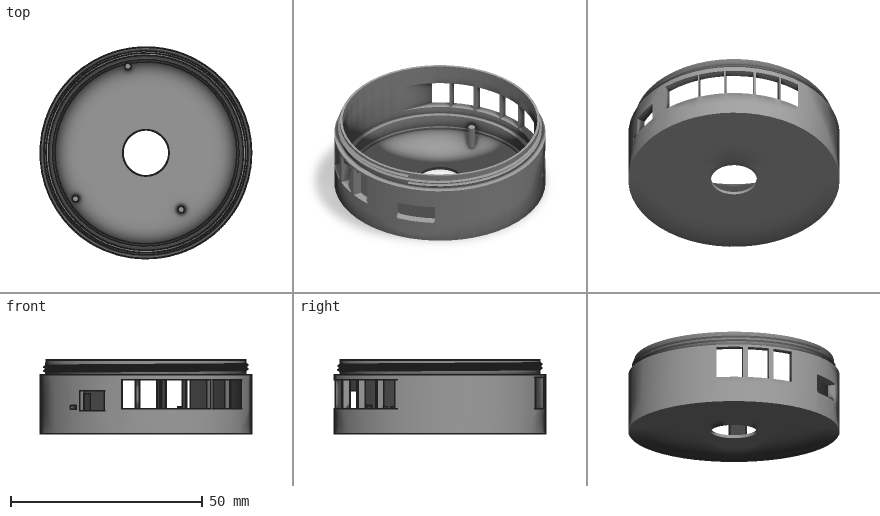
import cadquery as cq
import math

BODY_RADIUS = 55.3 / 2
NECK_RADIUS = 52.29 / 2
BORE_RADIUS = 51.0 / 2
LOWER_BORE_RADIUS = 48.8 / 2
FLOOR_RECESS_RADIUS = 47.6 / 2
CENTRE_HOLE_RADIUS = 12.0 / 2
TOTAL_HEIGHT = 19.4
SHOULDER_Z = 15.5
UPPER_LEDGE_Z = 4.75
LOWER_LEDGE_Z = 1.4
FLOOR_THICKNESS = 0.8

THREAD_PITCH = 1.0
THREAD_TURNS = 2
THREAD_CREST_RADIUS = 26.68
THREAD_HALF_WIDTH = 0.46
THREAD_START_Z = 16.38
THREAD_START_ANGLE = 132.0
THREAD_ROOT_OVERLAP = 0.1

VENT_BOTTOM_Z = 6.65
FRONT_VENT_TOP_Z = 14.15
BACK_VENT_TOP_Z = 14.85
VENT_INNER_Y = 2.0
FRONT_OPENINGS = [
    ((-6.3, -2.4), (3.54, 17.4)),
    ((3.83, 17.4), (10.34, 22.0)),
    ((10.70, 22.0), (17.00, 31.0)),
    ((17.55, 31.0), (21.99, 40.0)),
    ((22.25, 40.0), (24.97, -2.4)),
]
BACK_OPENINGS = [
    ((-8.2, 0.0), (-2.76, 0.0)),
    ((-1.60, 4.0), (4.05, -4.0)),
    ((5.30, 7.0), (12.0, 11.0)),
]

PIN_DIAMETER = 1.73
PIN_TOP_Z = 7.1
SHORT_PIN_TOP_Z = VENT_BOTTOM_Z
PINS = [
    (-4.70, 22.65, SHORT_PIN_TOP_Z),
    (-18.4, -12.0, PIN_TOP_Z),
    (9.25, -14.83, PIN_TOP_Z),
]

CARD_PORT_ANGLE = 239.1
CARD_PORT_WIDTH = 7.4
CARD_PORT_BOTTOM_Z = 6.1
CARD_PORT_TOP_Z = 11.3
SOCKET_PORT_ANGLE = 136.8
SOCKET_PORT_WIDTH = 10.5
SOCKET_PORT_BOTTOM_Z = 5.55
SOCKET_PORT_TOP_Z = 10.5
SOCKET_PORT_CORNER_RADIUS = 0.7
SLOT_ANGLE = 226.6
SLOT_WIDTH = 2.1
SLOT_BOTTOM_Z = 6.4
SLOT_TOP_Z = 7.45
SLOT_CORNER_RADIUS = 0.4

CUT_MARGIN = 3.0


def disc(radius, bottom, top):
    """Solid cylinder on the Z axis between two heights."""
    return cq.Workplane("XY").workplane(offset=bottom).circle(radius).extrude(top - bottom)


def make_shell():
    """Stepped cup: body, threaded neck, bores, thin floor and centre hole."""
    shell = disc(BODY_RADIUS, 0, SHOULDER_Z).union(disc(NECK_RADIUS, 0, TOTAL_HEIGHT))
    shell = shell.cut(disc(BORE_RADIUS, UPPER_LEDGE_Z, TOTAL_HEIGHT))
    shell = shell.cut(disc(LOWER_BORE_RADIUS, LOWER_LEDGE_Z, TOTAL_HEIGHT))
    shell = shell.cut(disc(FLOOR_RECESS_RADIUS, FLOOR_THICKNESS, TOTAL_HEIGHT))
    return shell.cut(disc(CENTRE_HOLE_RADIUS, 0, FLOOR_THICKNESS))


def make_thread():
    """Right-handed V ridge swept along a helix, rooted just inside the neck."""
    height = THREAD_PITCH * THREAD_TURNS
    root_radius = NECK_RADIUS - THREAD_ROOT_OVERLAP
    helix = cq.Wire.makeHelix(THREAD_PITCH, height, root_radius)
    profile = [
        (root_radius, -THREAD_HALF_WIDTH),
        (THREAD_CREST_RADIUS, 0),
        (root_radius, THREAD_HALF_WIDTH),
    ]
    ridge = cq.Workplane("XZ").polyline(profile).close().sweep(cq.Workplane(helix), isFrenet=True)
    return ridge.rotate((0, 0, 0), (0, 0, 1), THREAD_START_ANGLE).translate((0, 0, THREAD_START_Z))


def add_pins(body):
    """Raise the round pins from the floor, each to its own height."""
    for x, y, top in PINS:
        pin = disc(PIN_DIAMETER / 2, 0, top).translate((x, y, 0))
        body = body.union(pin)
    return body


def point_on_side(side, half, y):
    """Point at the given Y on one side of an opening; half is -1 for front, 1 for back."""
    wall_x, lean = side
    wall_y = half * math.sqrt(BODY_RADIUS**2 - wall_x**2)
    return wall_x + half * math.tan(math.radians(lean)) * (y - wall_y), y


def make_opening_cutter(left, right, half, top):
    """Vertical prism between the two sides of a vent opening."""
    outer_y = half * (BODY_RADIUS + CUT_MARGIN)
    inner_y = half * VENT_INNER_Y
    outline = [
        point_on_side(left, half, outer_y),
        point_on_side(right, half, outer_y),
        point_on_side(right, half, inner_y),
        point_on_side(left, half, inner_y),
    ]
    base = cq.Workplane("XY").workplane(offset=VENT_BOTTOM_Z)
    return base.polyline(outline).close().extrude(top - VENT_BOTTOM_Z)


def cut_vents(body, openings, half, top):
    """Cut every opening of one half; the material between openings stays as posts."""
    for left, right in openings:
        body = body.cut(make_opening_cutter(left, right, half, top))
    return body


def make_port_cutter(angle, width, bottom, top, rounded_edges=None, corner_radius=0.0):
    """Box crossing the wall at an angle from +X, with the chosen radial edges rounded."""
    inner = LOWER_BORE_RADIUS - CUT_MARGIN
    length = BODY_RADIUS + CUT_MARGIN - inner
    cutter = cq.Workplane("XY").box(length, width, top - bottom, centered=(False, True, False))
    if rounded_edges:
        cutter = cutter.edges(rounded_edges).fillet(corner_radius)
    return cutter.translate((inner, 0, bottom)).rotate((0, 0, 0), (0, 0, 1), angle)


def cut_ports(body):
    """Cut the card port, the socket port with rounded lower corners and the small slot."""
    card = make_port_cutter(CARD_PORT_ANGLE, CARD_PORT_WIDTH, CARD_PORT_BOTTOM_Z, CARD_PORT_TOP_Z)
    socket = make_port_cutter(
        SOCKET_PORT_ANGLE,
        SOCKET_PORT_WIDTH,
        SOCKET_PORT_BOTTOM_Z,
        SOCKET_PORT_TOP_Z,
        "|X and (<Z)",
        SOCKET_PORT_CORNER_RADIUS,
    )
    slot = make_port_cutter(SLOT_ANGLE, SLOT_WIDTH, SLOT_BOTTOM_Z, SLOT_TOP_Z, "|X", SLOT_CORNER_RADIUS)
    return body.cut(card).cut(socket).cut(slot)


housing = make_shell().union(make_thread())
housing = cut_vents(housing, FRONT_OPENINGS, -1, FRONT_VENT_TOP_Z)
housing = cut_vents(housing, BACK_OPENINGS, 1, BACK_VENT_TOP_Z)
housing = cut_ports(housing)
result = add_pins(housing)